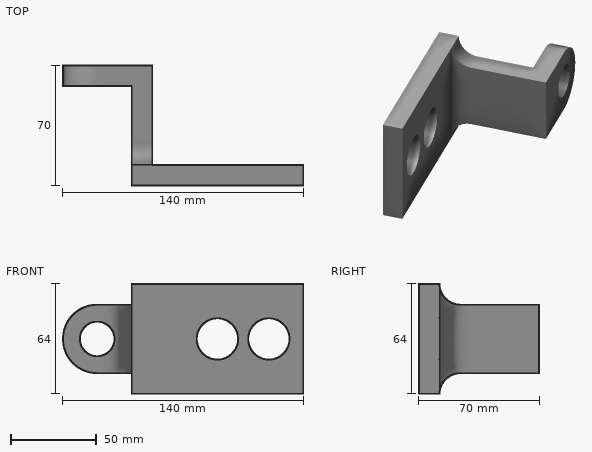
import cadquery as cq
import math

length = 140.0
depth = 70.0
plate_height = 64.0

thickness = 12.0

tab_width = 40.0
tab_radius = tab_width / 2
tab_hole_diameter = 20.0

web_x = tab_width
root_radius = (plate_height - tab_width) / 2

plate_hole_diameter = 24.0
plate_hole_positions = (90.0, 120.0)


def block(x_start, x_end, y_start, y_end, height):
    """Box between the given limits, centred on Z = 0."""
    return cq.Workplane("XY").box(
        x_end - x_start, y_end - y_start, height, centered=(False, False, True)
    ).translate((x_start, y_start, 0))


def cylinder_along_y(x, diameter, y_start, y_end):
    """Cylinder on the Z = 0 mid-plane with its axis along Y."""
    return (
        cq.Workplane("XZ", origin=(x, y_start, 0))
        .circle(diameter / 2)
        .extrude(y_start - y_end)
    )


def make_plate():
    plate = block(web_x, length, 0, thickness, plate_height)
    for x in plate_hole_positions:
        plate = plate.cut(cylinder_along_y(x, plate_hole_diameter, 0, thickness))
    return plate


def make_web():
    """Web across the depth, flaring with concave arcs to the plate's full height."""
    half_plate = plate_height / 2
    half_web = tab_width / 2
    arc_end_y = thickness + root_radius
    arc_offset = root_radius * math.sqrt(0.5)
    arc_mid_y = arc_end_y - arc_offset
    arc_mid_z = half_plate - arc_offset
    return (
        cq.Workplane("YZ", origin=(web_x, 0, 0))
        .moveTo(0, -half_plate)
        .lineTo(thickness, -half_plate)
        .threePointArc((arc_mid_y, -arc_mid_z), (arc_end_y, -half_web))
        .lineTo(depth, -half_web)
        .lineTo(depth, half_web)
        .lineTo(arc_end_y, half_web)
        .threePointArc((arc_mid_y, arc_mid_z), (thickness, half_plate))
        .lineTo(0, half_plate)
        .close()
        .extrude(thickness)
    )


def make_tab():
    tab_front = depth - thickness
    tab = block(tab_radius, web_x + thickness, tab_front, depth, tab_width)
    tab = tab.union(cylinder_along_y(tab_radius, tab_width, tab_front, depth))
    return tab.cut(cylinder_along_y(tab_radius, tab_hole_diameter, tab_front, depth))


result = make_plate().union(make_web()).union(make_tab()).clean()